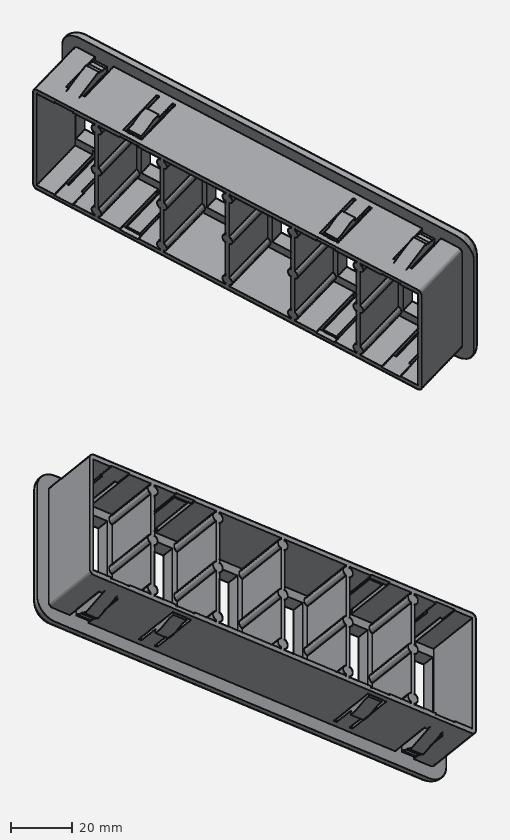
import cadquery as cq

flange_length = 164.8
flange_height = 58.4
flange_depth = 3.8
flange_corner_radius = 7.3
edge_radius = 3.5
edge_straight = 0.7

total_depth = 26.7
housing_length = 155.6
housing_height = 48.1
housing_corner_radius = 1.8
end_wall = 1.5
long_wall = 2.0
panel_depth = 5.1

cell_count = 6
cell_pitch = 26.2
window_width = 21.0
window_height = 37.3
divider_thickness = 1.5
bead_radius = 2.0
bead_height = 19.8

clip_slot_width = 7.5
recess_depth = 0.41

outer_clip_x = 2.5 * cell_pitch
outer_clip_width = 5.1
outer_slot_end = 20.1
outer_pocket_height = 20.3
outer_tip = 5.8
outer_step_depths = [7.1, 9.0, 10.5]
outer_first_step = 0.8
outer_peak = 2.6
outer_crest_end = 11.0
outer_ramp_end = 21.6

inner_clip_x = 1.5 * cell_pitch
inner_clip_width = 5.3
inner_slot_start = 6.0
inner_slot_end = 24.7
inner_tip = 23.7
inner_lip_end = 24.2
inner_lip_height = 0.5
inner_crest_start = 13.7
inner_crest_end = 16.6
inner_ramp_end = 21.6
inner_peak = 1.5

wall_top = housing_height / 2
wall_bottom = wall_top - long_wall
clip_bottom = wall_bottom + recess_depth
cavity_length = housing_length - 2 * end_wall
cavity_height = 2 * wall_bottom


def block(x, width, depth_start, depth_end, bottom, top):
    """Box centred on x, between two depths in front of the flange back."""
    size = (width, depth_end - depth_start, top - bottom)
    return cq.Workplane("XY").box(*size).translate(
        (x, -(depth_start + depth_end) / 2, (bottom + top) / 2)
    )


def centred_block(x, width, depth_start, depth_end, height):
    return block(x, width, depth_start, depth_end, -height / 2, height / 2)


def make_flange():
    overshoot = edge_straight + edge_radius - flange_depth
    flange = centred_block(0, flange_length, -overshoot, flange_depth, flange_height)
    flange = flange.edges("|Y").fillet(flange_corner_radius)
    flange = flange.faces(">Y").edges().fillet(edge_radius)
    return flange.intersect(centred_block(0, flange_length, 0, flange_depth, flange_height))


def make_housing():
    housing = centred_block(0, housing_length, flange_depth, total_depth, housing_height)
    housing = housing.edges("|Y").fillet(housing_corner_radius)
    return housing.cut(centred_block(0, cavity_length, panel_depth, total_depth, cavity_height))


def make_window(x):
    return centred_block(x, window_width, 0, panel_depth, window_height)


def make_divider(x):
    divider = centred_block(x, divider_thickness, panel_depth, total_depth, cavity_height)
    beads = (
        cq.Workplane("XZ", origin=(x, -panel_depth, 0))
        .pushPoints([(0, -bead_height), (0, 0), (0, bead_height)])
        .circle(bead_radius)
        .extrude(total_depth - panel_depth)
    )
    return divider.union(beads)


def make_clip(x, width, profile):
    """Extrude a (depth, height) profile across the width of a clip."""
    points = [(-depth, height) for depth, height in profile]
    return (
        cq.Workplane("YZ", origin=(x, 0, 0))
        .polyline(points)
        .close()
        .extrude(width / 2, both=True)
    )


def make_outer_opening(x):
    slot = block(x, clip_slot_width, flange_depth, outer_slot_end, clip_bottom, wall_top)
    pocket = block(x, clip_slot_width, flange_depth, panel_depth, outer_pocket_height, clip_bottom)
    return slot.union(pocket)


def make_outer_clip(x):
    step_rise = (outer_peak - outer_first_step) / len(outer_step_depths)
    height = wall_top + outer_first_step
    profile = [(outer_tip, clip_bottom), (outer_tip, height)]
    for depth in outer_step_depths:
        profile.append((depth, height))
        height += step_rise
        profile.append((depth, height))
    profile += [
        (outer_crest_end, height),
        (outer_ramp_end, wall_top),
        (outer_ramp_end, clip_bottom),
    ]
    return make_clip(x, outer_clip_width, profile)


def make_inner_opening(x):
    return block(x, clip_slot_width, inner_slot_start, inner_slot_end, clip_bottom, wall_top)


def make_inner_clip(x):
    crest = wall_top + inner_peak
    profile = [
        (inner_slot_start, clip_bottom),
        (inner_slot_start, wall_top),
        (inner_crest_start, wall_top),
        (inner_crest_start, crest),
        (inner_crest_end, crest),
        (inner_ramp_end, wall_top),
        (inner_tip, wall_top),
        (inner_tip, clip_bottom + inner_lip_height),
        (inner_lip_end, clip_bottom + inner_lip_height),
        (inner_lip_end, clip_bottom),
    ]
    return make_clip(x, inner_clip_width, profile)


def make_recess(x):
    return block(x, clip_slot_width, panel_depth, total_depth, wall_bottom, clip_bottom)


def add_clip(body, x, opening, clip):
    """Cut the opening and add the clip, in the top wall and mirrored in the bottom wall."""
    cutter = opening.union(make_recess(x))
    body = body.cut(cutter).cut(cutter.mirror("XY"))
    return body.union(clip).union(clip.mirror("XY"))


result = make_flange().union(make_housing())

for cell in range(cell_count):
    result = result.cut(make_window((cell - (cell_count - 1) / 2) * cell_pitch))

for wall in range(1, cell_count):
    result = result.union(make_divider((wall - cell_count / 2) * cell_pitch))

for side in (-1, 1):
    outer_x = side * outer_clip_x
    inner_x = side * inner_clip_x
    result = add_clip(result, outer_x, make_outer_opening(outer_x), make_outer_clip(outer_x))
    result = add_clip(result, inner_x, make_inner_opening(inner_x), make_inner_clip(inner_x))